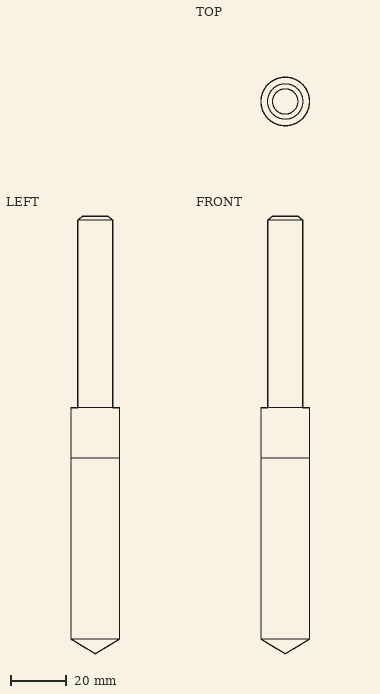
import cadquery as cq
import math

overall_length = 157.0
body_diameter = 17.5
shank_diameter = 12.7

shank_length = 68.7
collar_length = 18.0

shank_end_diameter = 9.1
shank_end_taper_length = 1.5

point_angle = 118.0

body_radius = body_diameter / 2
shank_radius = shank_diameter / 2
shank_end_radius = shank_end_diameter / 2

point_height = body_radius / math.tan(math.radians(point_angle / 2))
collar_top = overall_length - shank_length
joint_height = collar_top - collar_length
taper_start = overall_length - shank_end_taper_length


def revolve_profile(points):
    """Turn a closed (radius, height) half-profile about the Z axis."""
    return (
        cq.Workplane("XZ")
        .polyline(points)
        .close()
        .revolve(360, (0, 0, 0), (0, 1, 0))
    )


def make_shank():
    """Shank with a tapered end and a full-diameter collar at its foot."""
    return revolve_profile([
        (0, joint_height),
        (body_radius, joint_height),
        (body_radius, collar_top),
        (shank_radius, collar_top),
        (shank_radius, taper_start),
        (shank_end_radius, overall_length),
        (0, overall_length),
    ])


def make_tip():
    """Round bar with a conical point, butted against the collar."""
    return revolve_profile([
        (0, 0),
        (body_radius, point_height),
        (body_radius, joint_height),
        (0, joint_height),
    ])


shank = make_shank()
tip = make_tip()

result = cq.Compound.makeCompound([shank.val(), tip.val()])